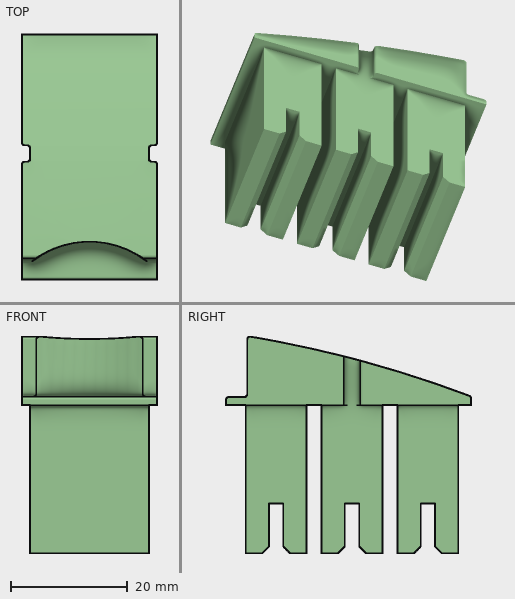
import cadquery as cq

cap_width = 23.2
cap_length = 42.0
wall_height = 11.84
lip_height = 1.4
back_height = 1.5
lip_depth = 3.65
crown_radius = 200.0
cap_fillet = 0.5

scoop_radius = 16.0
scoop_reach = 6.5

notch_depth = 1.4
notch_width = 2.8
notch_fillet = 0.5

leg_count = 3
leg_pitch = 13.0
leg_length = 10.45
leg_height = 25.4
leg_width = cap_width - 2 * notch_depth
middle_leg_y = 21.6

slot_width = 2.4
slot_height = 8.55
slot_chamfer = 1.2


def make_cap():
    """Side profile extruded across X, front edge at Y = 0 and underside at Z = 0."""
    profile = (
        cq.Workplane("YZ")
        .moveTo(0, 0)
        .lineTo(cap_length, 0)
        .lineTo(cap_length, back_height)
        .radiusArc((lip_depth, wall_height), -crown_radius)
        .lineTo(lip_depth, lip_height)
        .lineTo(0, lip_height)
        .close()
    )
    cap = profile.extrude(cap_width / 2, both=True)
    rounded_edges = (
        (0, lip_height),
        (lip_depth, lip_height),
        (lip_depth, wall_height),
        (cap_length, back_height),
    )
    for edge_y, edge_z in rounded_edges:
        cap = cap.edges(cq.selectors.NearestToPointSelector((0, edge_y, edge_z))).fillet(cap_fillet)
    return cap


def make_scoop():
    """Cylinder standing on the level of the lip."""
    return (
        cq.Workplane("XY", origin=(0, scoop_reach - scoop_radius, lip_height))
        .circle(scoop_radius)
        .extrude(wall_height)
    )


def make_notch(side):
    """Cutter for one side notch, with rounded inner corners and flared, rounded mouth corners."""
    mouth_x = cap_width / 2
    floor_x = mouth_x - notch_depth
    half = notch_width / 2
    r = notch_fillet
    cutter = (
        cq.Workplane("XY")
        .moveTo(mouth_x, -half - r)
        .radiusArc((mouth_x - r, -half), -r)
        .lineTo(floor_x + r, -half)
        .radiusArc((floor_x, -half + r), r)
        .lineTo(floor_x, half - r)
        .radiusArc((floor_x + r, half), r)
        .lineTo(mouth_x - r, half)
        .radiusArc((mouth_x, half + r), -r)
        .close()
        .extrude(wall_height)
    )
    if side < 0:
        cutter = cutter.mirror("YZ")
    return cutter.translate((0, middle_leg_y, 0))


def make_leg(center_y):
    """Block under the cap whose foot is split by a slot with a chamfered mouth."""
    half_leg = leg_length / 2
    half_slot = slot_width / 2
    half_mouth = half_slot + slot_chamfer
    slot_top = slot_height - leg_height
    chamfer_top = slot_chamfer - leg_height
    return (
        cq.Workplane("YZ", origin=(0, center_y, 0))
        .moveTo(-half_leg, 0)
        .lineTo(-half_leg, -leg_height)
        .lineTo(-half_mouth, -leg_height)
        .lineTo(-half_slot, chamfer_top)
        .lineTo(-half_slot, slot_top)
        .lineTo(half_slot, slot_top)
        .lineTo(half_slot, chamfer_top)
        .lineTo(half_mouth, -leg_height)
        .lineTo(half_leg, -leg_height)
        .lineTo(half_leg, 0)
        .close()
        .extrude(leg_width / 2, both=True)
    )


result = make_cap().cut(make_scoop())
for notch_side in (-1, 1):
    result = result.cut(make_notch(notch_side))
for leg_index in range(leg_count):
    leg_offset = (leg_index - (leg_count - 1) / 2) * leg_pitch
    result = result.union(make_leg(middle_leg_y + leg_offset))